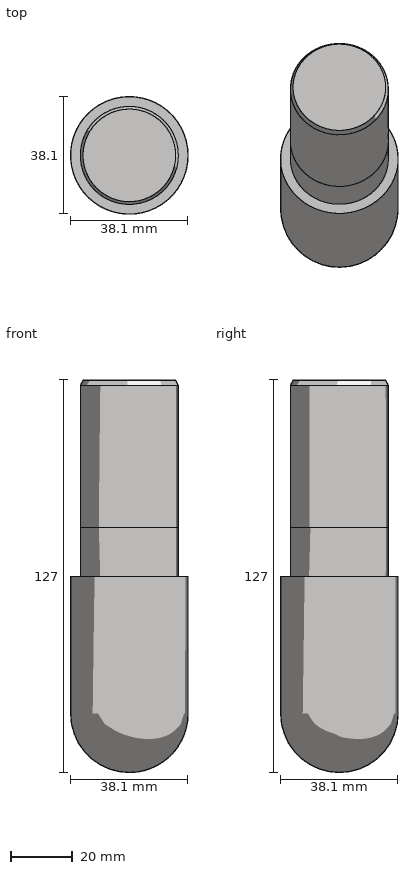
import cadquery as cq
import math

total_length = 127.0
nose_diameter = 38.1
shank_diameter = 31.8
shoulder_height = 63.5
joint_height = 79.4
chamfer_height = 1.7
chamfer_width = 0.9

nose_radius = nose_diameter / 2
shank_radius = shank_diameter / 2


def make_cutter():
    """Ball-nosed cutter with a neck of shank diameter above its shoulder."""
    mid_reach = nose_radius * math.sin(math.radians(45))
    profile = (
        cq.Workplane("XZ")
        .threePointArc((mid_reach, nose_radius - mid_reach), (nose_radius, nose_radius))
        .lineTo(nose_radius, shoulder_height)
        .lineTo(shank_radius, shoulder_height)
        .lineTo(shank_radius, joint_height)
        .lineTo(0, joint_height)
        .close()
    )
    return profile.revolve(360, (0, 0, 0), (0, 1, 0))


def make_shank():
    """Plain cylindrical shank with a chamfered top rim."""
    shank_length = total_length - joint_height
    shank = (
        cq.Workplane("XY", origin=(0, 0, joint_height))
        .circle(shank_radius)
        .extrude(shank_length)
    )
    return shank.faces(">Z").edges().chamfer(chamfer_height, chamfer_width)


cutter = make_cutter()
shank = make_shank()
result = cq.Compound.makeCompound([cutter.val(), shank.val()])